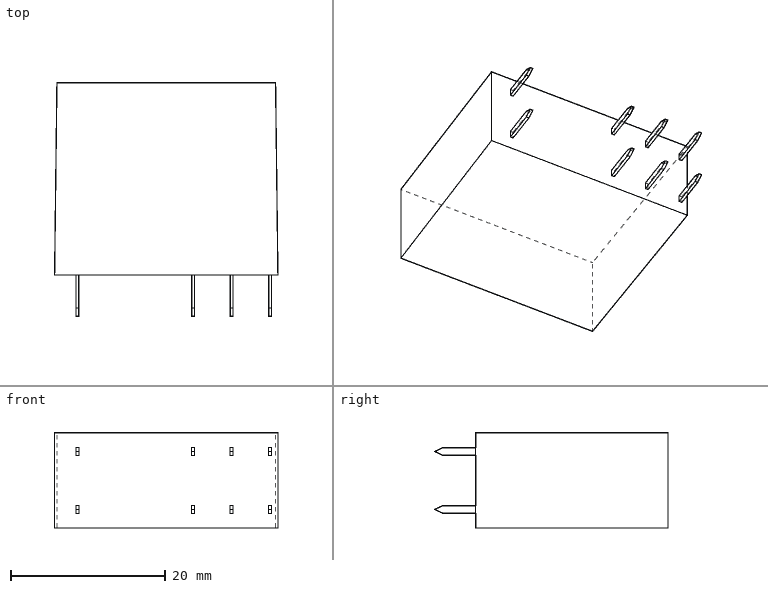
import cadquery as cq

front_width = 29.0
rear_width = 28.4
total_depth = 30.3
height = 12.4
pin_length = 5.33
body_depth = total_depth - pin_length

pin_thickness = 0.4
pin_height = 1.0
tip_length = 1.05
column_pitch = 5.0
wide_gap = 15.0
row_pitch = 7.5
first_column_x = -11.5

second_column_x = first_column_x + wide_gap
column_positions = [
    first_column_x,
    second_column_x,
    second_column_x + column_pitch,
    second_column_x + 2 * column_pitch,
]
row_positions = [-row_pitch / 2, row_pitch / 2]


def make_housing():
    """Housing with its pin face on Y = 0, extending toward +Y."""
    return (
        cq.Workplane("XY")
        .polyline([
            (-front_width / 2, 0),
            (front_width / 2, 0),
            (rear_width / 2, body_depth),
            (-rear_width / 2, body_depth),
        ])
        .close()
        .extrude(height / 2, both=True)
    )


def make_pin(x, z):
    """Flat pin from the pin face toward -Y, narrowing in Z at its end."""
    shoulder_y = tip_length - pin_length
    return (
        cq.Workplane("YZ")
        .polyline([
            (0, -pin_height / 2),
            (0, pin_height / 2),
            (shoulder_y, pin_height / 2),
            (-pin_length, 0),
            (shoulder_y, -pin_height / 2),
        ])
        .close()
        .extrude(pin_thickness / 2, both=True)
        .translate((x, 0, z))
    )


result = make_housing()
for column_x in column_positions:
    for row_z in row_positions:
        result = result.union(make_pin(column_x, row_z))